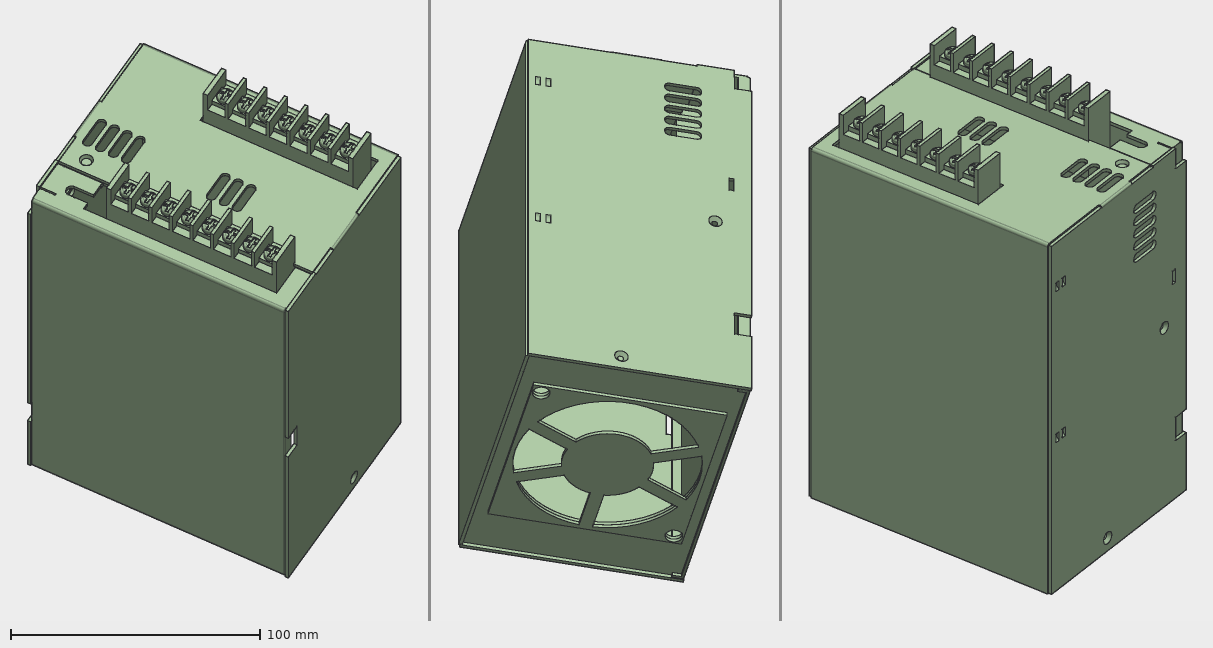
import cadquery as cq
import math

width = 120.0
depth = 93.0
case_height = 169.5
total_height = 185.5
sheet = 1.5
inner_half = width / 2 - sheet
seam_y = 22.6
seam_gap = 1.0

wall_step = 0.7
bend_radius = 1.3
tab_radius = 1.0
tab_start = 37.1
tab_end = 57.9

vent_length = 15.2
vent_width = 4.0
vent_pitch = 6.0
top_vent_y = 42.5
top_vent_groups = ((-53.0, 4), (3.9, 3))
side_vent_y = 28.4
side_vent_top_z = 155.1
side_vent_count = 5

screw_hole = 2.5
screw_sink = 5.5
top_screw = (-49.0, 28.5)
top_screw_hole = 4.0
upper_screw = (15.0, 86.8)
lower_screw = (53.8, 6.3)

window_depth = 7.2
left_window_spans = ((27.8, 39.1), (159.7, case_height))
right_window_spans = ((77.0, 88.9),)
catch_slot = (8.3, 108.0, 2.0, 6.3)
dimple_width = 2.0
dimple_depth = 1.1
dimple_diameter = 5.0
dimple_ys = (83.9, 88.1)
dimple_zs = (74.0, 147.3)

chassis_gap = 0.2
chassis_half = inner_half - chassis_gap
chassis_top = case_height - 0.5
chassis_side_bend = 0.5
chassis_end_bend = 1.3
flange_depth = 5.2
opening_left = -37.8
opening_right = 51.0
opening_front = 6.5
key_slot_y = 12.2
key_slot_width = 4.8
key_slot_end = -49.0
relief_y = 7.5
relief_length = 7.0
relief_width = 0.7
tongue_left = -55.7
tongue_right = -33.4
tongue_end = 33.4

fan_x = -2.0
fan_y = 45.8
fan_size = 79.8
fan_bore = 76.0
fan_thickness = 1.5
floor_top = fan_thickness + sheet
fan_hub = 37.1
fan_spoke = 5.5
fan_spoke_angles = (0, 65, 115, 245, 295)
fan_hole_offset = 35.8
fan_hole = 7.0

cell_pitch = 9.5
barrier = 1.5
end_barrier = 2.0
block_depth = 15.0
block_bottom = case_height - 18.5
cell_floor = 176.3
plate_width = 8.0
plate_depth = 8.2
plate_top = 178.5
head_diameter = 7.0
head_top = 180.7
head_round = 1.1
cross_length = 5.5
cross_width = 1.3
cross_depth = 1.0
rear_block_x, rear_block_y, rear_cells = 15.8, 77.7, 7
front_block_x, front_block_y, front_cells = 10.5, 16.1, 8
rear_opening = (-19.3, 53.0, 68.8, 85.9)


def box(x0, x1, y0, y1, z0, z1):
    """Box between two opposite corners."""
    return cq.Workplane("XY").box(x1 - x0, y1 - y0, z1 - z0, centered=False).translate((x0, y0, z0))


def block_length(cells):
    return cells * cell_pitch + 2 * end_barrier - barrier


def countersink(wide, narrow):
    """Cone through one sheet, wide end on the plane Z = 0 and narrowing downwards."""
    return cq.Workplane("XY").circle(wide / 2).workplane(offset=-sheet).circle(narrow / 2).loft()


def bend_tab():
    """Rounded joint between the top sheet and the side wall at -X."""
    x0 = -width / 2
    tab = box(x0, -inner_half, tab_start, tab_end, case_height - sheet, case_height)
    return tab.edges("|Y and <X and >Z").fillet(tab_radius)


def side_screw_hole(y, z):
    """Countersink in the side wall at -X."""
    sink = countersink(screw_sink, screw_hole).rotate((0, 0, 0), (0, 1, 0), -90)
    return sink.translate((-width / 2, y, z))


def side_vents():
    vents = []
    for i in range(side_vent_count):
        vent = cq.Workplane("YZ").center(side_vent_y, side_vent_top_z - i * vent_pitch)
        vents.append(vent.slot2D(vent_length, vent_width).extrude(sheet).translate((-width / 2, 0, 0)))
    return vents


def side_dimples():
    """Each dimple is the tip of a cylinder that lies along Y outside the wall."""
    roller_x = -width / 2 + dimple_depth - dimple_diameter / 2
    dimples = []
    for y in dimple_ys:
        for z in dimple_zs:
            roller = cq.Workplane("XZ").circle(dimple_diameter / 2).extrude(dimple_width / 2, both=True)
            dimples.append(roller.translate((roller_x, y, z)))
    return dimples


def side_wall(window_spans, cutters):
    """Side wall at -X with the bend that joins it to the top, front windows and other cuts."""
    x0 = -width / 2
    wall = box(x0, -inner_half, 0, depth - wall_step, 0, case_height)
    wall = wall.cut(box(x0, -inner_half, seam_y, depth, case_height - wall_step, case_height))
    wall = wall.cut(box(x0, -inner_half, tab_start, tab_end, case_height - sheet, case_height))
    for z0, z1 in window_spans:
        wall = wall.cut(box(x0, -inner_half, 0, window_depth, z0, z1))
    for cutter in cutters:
        wall = wall.cut(cutter)
    return wall.union(bend_tab())


def make_left_wall():
    y, z, slot_width, slot_height = catch_slot
    slot = box(-width / 2, -inner_half, y - slot_width / 2, y + slot_width / 2,
               z - slot_height / 2, z + slot_height / 2)
    holes = [side_screw_hole(*upper_screw), side_screw_hole(*lower_screw)]
    return side_wall(left_window_spans, [slot, *holes, *side_vents(), *side_dimples()])


def make_right_wall():
    return side_wall(right_window_spans, [side_screw_hole(*lower_screw)]).mirror("YZ")


def make_cover():
    back = box(-inner_half, inner_half, depth - sheet, depth, 0, case_height)
    top = box(-inner_half, inner_half, seam_y, depth, case_height - sheet, case_height)
    shell = back.union(top).edges("|X and >Y and >Z").fillet(bend_radius)

    for first_x, count in top_vent_groups:
        for i in range(count):
            vent = cq.Workplane("XY").center(first_x + i * vent_pitch, top_vent_y)
            vent = vent.slot2D(vent_length, vent_width, 90).extrude(case_height)
            shell = shell.cut(vent)
    shell = shell.cut(countersink(screw_sink, top_screw_hole).translate((*top_screw, case_height)))

    x0, x1, y0, y1 = rear_opening
    shell = shell.cut(box(x0, x1, y0, y1, case_height - sheet, case_height))
    half_length = block_length(front_cells) / 2
    shell = shell.cut(box(front_block_x - half_length, front_block_x + half_length,
                          seam_y, front_block_y + block_depth / 2, case_height - sheet, case_height))

    return shell.union(make_left_wall()).union(make_right_wall())


def make_chassis():
    front = box(-chassis_half, chassis_half, 0, flange_depth, 0, chassis_top)
    front = front.edges("<Y and (<Z or >Z)").fillet(chassis_end_bend)
    front = front.edges("(<X or >X) and <Y").fillet(chassis_side_bend)
    front = front.cut(box(-chassis_half + sheet, chassis_half - sheet, sheet, flange_depth,
                          0, chassis_top - sheet))
    floor = box(-chassis_half, chassis_half, sheet, depth - sheet, fan_thickness, floor_top)
    strip = box(-chassis_half, chassis_half, sheet, seam_y - seam_gap, chassis_top - sheet, chassis_top)

    tongue_top = case_height - sheet
    tongue = box(tongue_left, tongue_right, seam_y - sheet, tongue_end, tongue_top - sheet, tongue_top)

    strip_bottom = tongue_top - sheet
    opening = box(opening_left, opening_right, opening_front, seam_y, strip_bottom, chassis_top)
    key_end_x = key_slot_end + key_slot_width / 2
    key = box(key_end_x, opening_left, key_slot_y - key_slot_width / 2,
              key_slot_y + key_slot_width / 2, strip_bottom, chassis_top)
    key_end = cq.Workplane("XY").workplane(offset=strip_bottom).center(key_end_x, key_slot_y)
    key_end = key_end.circle(key_slot_width / 2).extrude(chassis_top - strip_bottom)
    relief = box(-chassis_half, -chassis_half + relief_length, relief_y - relief_width / 2,
                 relief_y + relief_width / 2, strip_bottom, chassis_top)

    fan_opening = cq.Workplane("XY").center(fan_x, fan_y).circle(fan_bore / 2).extrude(floor_top)
    chassis = front.union(floor).union(strip).union(tongue)
    for cutter in (opening, key, key_end, relief, fan_opening, fan_mount_holes()):
        chassis = chassis.cut(cutter)
    return chassis


def fan_mount_holes():
    """Two diagonally opposite cylinders through the floor and the fan guard."""
    places = [(fan_hole_offset, -fan_hole_offset), (-fan_hole_offset, fan_hole_offset)]
    holes = cq.Workplane("XY").center(fan_x, fan_y).pushPoints(places)
    return holes.circle(fan_hole / 2).extrude(floor_top)


def make_fan_guard():
    """Square plate with a round opening, in which spokes carry a central disc."""
    guard = cq.Workplane("XY").rect(fan_size, fan_size).circle(fan_bore / 2).extrude(fan_thickness)
    guard = guard.union(cq.Workplane("XY").circle(fan_hub / 2).extrude(fan_thickness))
    spoke_length = (fan_bore + fan_size) / 4
    for angle in fan_spoke_angles:
        spoke = box(0, spoke_length, -fan_spoke / 2, fan_spoke / 2, 0, fan_thickness)
        guard = guard.union(spoke.rotate((0, 0, 0), (0, 0, 1), angle))
    return guard.translate((fan_x, fan_y, 0)).cut(fan_mount_holes())


def terminal_screw():
    """Square clamp plate and domed cross-head screw, standing on Z = 0."""
    plate_height = plate_top - cell_floor
    head_height = head_top - plate_top
    plate = cq.Workplane("XY").rect(plate_width, plate_depth).extrude(plate_height)
    head = cq.Workplane("XY").circle(head_diameter / 2).extrude(head_height)
    head = head.faces(">Z").edges().fillet(head_round)
    for arm in ((cross_length, cross_width), (cross_width, cross_length)):
        groove = cq.Workplane("XY").workplane(offset=head_height - cross_depth)
        head = head.cut(groove.rect(*arm).extrude(cross_depth))
    return plate.union(head.translate((0, 0, plate_height)))


def make_terminal_block(cells, x, y):
    """Block with a row of open cells, one screw in each, centred on (x, y)."""
    half_length = block_length(cells) / 2
    half_depth = block_depth / 2
    block = box(-half_length, half_length, -half_depth, half_depth, block_bottom, total_height)
    open_half = (cell_pitch - barrier) / 2
    screw = terminal_screw()
    for i in range(cells):
        cell_x = (i - (cells - 1) / 2) * cell_pitch
        block = block.cut(box(cell_x - open_half, cell_x + open_half, -half_depth, half_depth,
                              cell_floor, total_height))
        block = block.union(screw.translate((cell_x, 0, cell_floor)))
    return block.translate((x, y, 0))


cover = make_cover()
chassis = make_chassis()
fan_guard = make_fan_guard()
rear_terminals = make_terminal_block(rear_cells, rear_block_x, rear_block_y)
front_terminals = make_terminal_block(front_cells, front_block_x, front_block_y)

result = cq.Compound.makeCompound([
    cover.val(),
    chassis.val(),
    fan_guard.val(),
    rear_terminals.val(),
    front_terminals.val(),
])